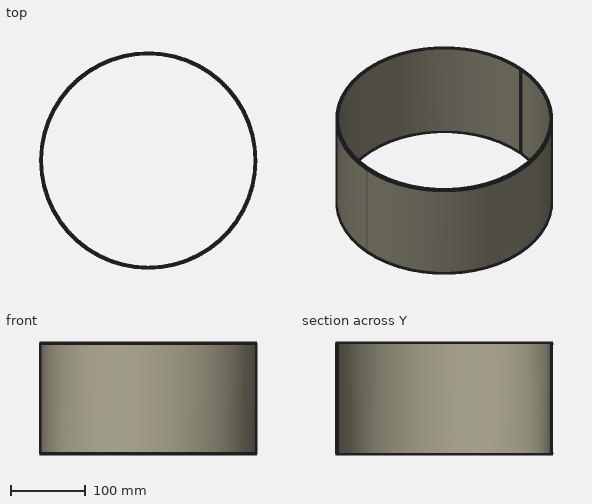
import cadquery as cq

outer_diameter = 290.0
height = 150.0
wall = 2.3
bevel_height = 1.7
bevel_depth = 0.5
slit_width = 2.3

outer_radius = outer_diameter / 2
inner_radius = outer_radius - wall
rim_radius = outer_radius - bevel_depth
half_height = height / 2
bevel_start = half_height - bevel_height

section = [
    (inner_radius, -half_height),
    (rim_radius, -half_height),
    (outer_radius, -bevel_start),
    (outer_radius, bevel_start),
    (rim_radius, half_height),
    (inner_radius, half_height),
]
band = cq.Workplane("XZ").polyline(section).close().revolve(360, (0, 0), (0, 1))

slit = cq.Workplane("XY").box(
    outer_radius, slit_width, height, centered=(False, False, True)
).translate((-outer_radius, 0, 0))

result = band.cut(slit)